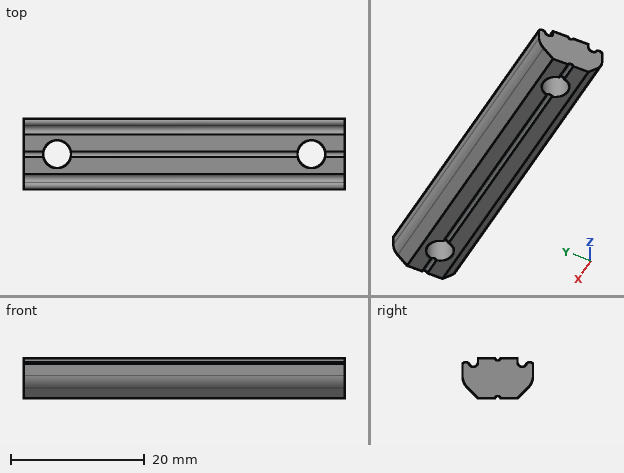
import cadquery as cq
import math

length = 48.0
width = 10.6
height = 6.0
half_width = width / 2

land_half_width = 3.0
lip_height = 5.4
lip_radius = 0.6
side_groove_radius = 0.65
side_groove_depth = 1.3
flank_angle = 45.0
flank_radius = 2.6

centre_groove_half_width = 0.45
centre_groove_depth = 0.35

hole_diameter = 4.15
hole_spacing = 38.0


def polar(centre, radius, angle):
    """Point on a circle; angle in degrees from +Y towards +Z."""
    radians = math.radians(angle)
    return (centre[0] + radius * math.cos(radians), centre[1] + radius * math.sin(radians))


groove_centre = (
    land_half_width + side_groove_radius,
    height - side_groove_depth + side_groove_radius,
)
lip_centre_z = lip_height - lip_radius
lip_drop = groove_centre[1] - lip_centre_z
centre_distance = side_groove_radius + lip_radius
lip_centre = (
    groove_centre[0] + math.sqrt(centre_distance**2 - lip_drop**2),
    lip_centre_z,
)
joint_angle = -math.degrees(math.asin(lip_drop / centre_distance))
groove_joint = polar(groove_centre, side_groove_radius, joint_angle)

lip_start_angle = math.degrees(math.acos((half_width - lip_centre[0]) / lip_radius))
lip_end_angle = joint_angle + 180
lip_middle_angle = (lip_start_angle + lip_end_angle) / 2

flank_corner_z = (half_width - land_half_width) * math.tan(math.radians(flank_angle))
flank_turn = 90 - flank_angle
flank_setback = flank_radius * math.tan(math.radians(flank_turn / 2))
flank_centre = (half_width - flank_radius, flank_corner_z + flank_setback)


def make_half_bar():
    """The +Y half of the bar, bounded by the XZ centre plane."""
    return (
        cq.Workplane("YZ", origin=(-length / 2, 0, 0))
        .moveTo(0, 0)
        .lineTo(land_half_width, 0)
        .lineTo(*polar(flank_centre, flank_radius, -flank_turn))
        .threePointArc(
            polar(flank_centre, flank_radius, -flank_turn / 2),
            (half_width, flank_centre[1]),
        )
        .lineTo(*polar(lip_centre, lip_radius, lip_start_angle))
        .threePointArc(polar(lip_centre, lip_radius, lip_middle_angle), groove_joint)
        .threePointArc(
            polar(groove_centre, side_groove_radius, (joint_angle - 180) / 2),
            (land_half_width, groove_centre[1]),
        )
        .lineTo(land_half_width, height)
        .lineTo(0, height)
        .close()
        .extrude(length)
    )


def make_centre_groove(surface_z, floor_z):
    """Cutter for a groove of arc section running the full length."""
    return (
        cq.Workplane("YZ", origin=(-length / 2, 0, 0))
        .moveTo(-centre_groove_half_width, surface_z)
        .threePointArc((0, floor_z), (centre_groove_half_width, surface_z))
        .close()
        .extrude(length)
    )


def make_holes():
    centres = [(-hole_spacing / 2, 0), (hole_spacing / 2, 0)]
    return cq.Workplane("XY").pushPoints(centres).circle(hole_diameter / 2).extrude(height)


half_bar = make_half_bar()
bar = half_bar.union(half_bar.mirror("XZ")).clean()
bar = bar.cut(make_centre_groove(height, height - centre_groove_depth))
bar = bar.cut(make_centre_groove(0, centre_groove_depth))
result = bar.cut(make_holes())